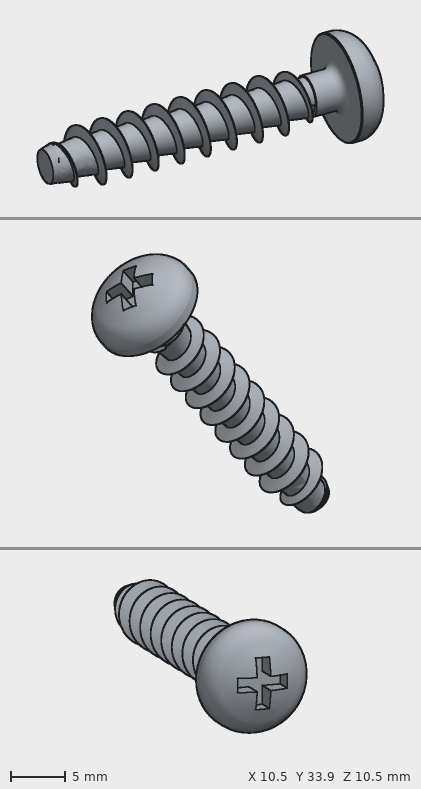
import cadquery as cq
import math


head_radius = 10.5 / 2
head_height = 3.96
rim_height = 1.1
rim_chamfer = 0.1
crown_radius = 3.85
crown_rise = 1.0
shoulder_bulge = 0.3

recess_span = 4.9
recess_arm_width = 1.35
recess_depth = 2.2

shank_length = 30.0
shank_radius = 2.0
plain_length = 3.0
neck_fillet = 0.75

pitch = 2.69
crest_radius = 3.0
crest_width = 0.06
flank_angle = 15.5
root_high_radius = 1.95
root_low_radius = 1.69
core_radius = 1.64
root_sunk_radius = 1.5
tooth_sunk_radius = 1.35
root_start = -1.0
root_gap = 0.2
first_crest = -3.75

run_in_start = -0.25
run_in_end = 0.75
run_out_start = 8.4
run_out_end = 9.6
run_in_radius = 2.35
run_out_radius = 1.7
sections_per_turn = 16

tip_radius = 1.64
tip_taper_length = 1.0


def make_head():
    """Pan head: chamfered rim, rounded shoulder and shallow crown, revolved about Y."""
    crown_base = head_height - crown_rise
    chord_x = head_radius - crown_radius
    chord_y = crown_base - rim_height
    chord = math.hypot(chord_x, chord_y)
    shoulder_mid = (
        (head_radius + crown_radius) / 2 + shoulder_bulge * chord_y / chord,
        (rim_height + crown_base) / 2 + shoulder_bulge * chord_x / chord,
    )
    sphere_radius = (crown_radius**2 + crown_rise**2) / (2 * crown_rise)
    mid_x = crown_radius / 2
    mid_y = head_height - sphere_radius + math.sqrt(sphere_radius**2 - mid_x**2)
    return (
        cq.Workplane("XY")
        .moveTo(0, 0)
        .lineTo(head_radius - rim_chamfer, 0)
        .lineTo(head_radius, rim_chamfer)
        .lineTo(head_radius, rim_height)
        .threePointArc(shoulder_mid, (crown_radius, crown_base))
        .threePointArc((mid_x, mid_y), (0, head_height))
        .close()
        .revolve(360, (0, 0, 0), (0, 1, 0))
    )


def make_recess():
    """Cross-shaped pocket with straight walls, open at the top of the head."""
    centre = (0, head_height - recess_depth / 2, 0)
    arm_x = cq.Workplane("XY").box(recess_span, recess_depth, recess_arm_width)
    arm_z = cq.Workplane("XY").box(recess_arm_width, recess_depth, recess_span)
    return arm_x.union(arm_z).translate(centre)


def make_shank():
    """Plain shank filleted into the head, and the slimmer core that carries the thread."""
    fillet_sagitta = neck_fillet * (1 - math.sqrt(0.5))
    return (
        cq.Workplane("XY")
        .moveTo(0, 0)
        .lineTo(shank_radius + neck_fillet, 0)
        .threePointArc(
            (shank_radius + fillet_sagitta, -fillet_sagitta),
            (shank_radius, -neck_fillet),
        )
        .lineTo(shank_radius, -plain_length)
        .lineTo(core_radius, -plain_length)
        .lineTo(core_radius, -shank_length)
        .lineTo(0, -shank_length)
        .close()
        .revolve(360, (0, 0, 0), (0, 1, 0))
    )


def half_width(radius, crest):
    """Half the axial width of the tooth at a radius, for a given crest radius."""
    return crest_width / 2 + (crest - radius) * math.tan(math.radians(flank_angle))


def tooth_outline(crest):
    """Corners of the tooth as (radius, axial offset), for a given crest radius."""
    base_half_width = half_width(tooth_sunk_radius, crest)
    return [
        (tooth_sunk_radius, base_half_width),
        (crest, crest_width / 2),
        (crest, -crest_width / 2),
        (tooth_sunk_radius, -base_half_width),
    ]


def tooth_section(turn, crest):
    """Outline of the tooth in the half-plane through the axis at a given turn."""
    angle = 2 * math.pi * turn
    centre = first_crest - turn * pitch
    points = [
        cq.Vector(radius * math.cos(angle), centre + offset, radius * math.sin(angle))
        for radius, offset in tooth_outline(crest)
    ]
    return cq.Wire.makePolygon(points, close=True)


def make_fading_tooth(start_turn, end_turn, start_crest, end_crest):
    """Stretch of tooth whose crest radius changes steadily between two turns."""
    steps = math.ceil((end_turn - start_turn) * sections_per_turn)
    sections = []
    for step in range(steps + 1):
        share = step / steps
        turn = start_turn + share * (end_turn - start_turn)
        sections.append(tooth_section(turn, start_crest + share * (end_crest - start_crest)))
    return cq.Workplane(obj=cq.Solid.makeLoft(sections))


def sweep_helix(outline, start_turn, end_turn):
    """Right-hand sweep of a (radius, axial offset) outline between two turns of the thread."""
    helix = cq.Workplane(obj=cq.Wire.makeHelix(pitch, (end_turn - start_turn) * pitch, crest_radius))
    swept = cq.Workplane("XZ").polyline(outline).close().sweep(helix, isFrenet=True)
    along_y = swept.rotate((0, 0, 0), (1, 0, 0), -90).translate((0, first_crest - end_turn * pitch, 0))
    return along_y.rotate((0, 0, 0), (0, 1, 0), -360 * end_turn)


def make_tooth_stretches():
    """Full-height tooth and the fading stretch at each of its ends, as separate bodies."""
    main = sweep_helix(tooth_outline(crest_radius), run_in_end, run_out_start)
    run_in = make_fading_tooth(run_in_start, run_in_end, run_in_radius, crest_radius)
    run_out = make_fading_tooth(run_out_start, run_out_end, crest_radius, run_out_radius)
    return [main, run_out, run_in]


def make_root():
    """Sloping root between the turns, widest just below each turn."""
    slope_top = -half_width(root_high_radius, crest_radius)
    slope_bottom = half_width(root_low_radius, crest_radius) - pitch
    slope = (root_high_radius - root_low_radius) / (slope_top - slope_bottom)
    top = -root_gap / 2
    bottom = top + root_gap - pitch
    outline = [
        (root_sunk_radius, top),
        (root_high_radius + slope * (top - slope_top), top),
        (root_low_radius - slope * (slope_bottom - bottom), bottom),
        (root_sunk_radius, bottom),
    ]
    turns_to_tip = math.ceil((shank_length + first_crest) / pitch)
    return sweep_helix(outline, root_start, turns_to_tip)


def make_root_envelope():
    """Body of revolution that trims the root at the plain shank and tapers it at the tip."""
    return (
        cq.Workplane("XY")
        .moveTo(0, -plain_length)
        .lineTo(crest_radius, -plain_length)
        .lineTo(crest_radius, tip_taper_length - shank_length)
        .lineTo(root_high_radius, tip_taper_length - shank_length)
        .lineTo(tip_radius, -shank_length)
        .lineTo(0, -shank_length)
        .close()
        .revolve(360, (0, 0, 0), (0, 1, 0))
    )


root = make_root().intersect(make_root_envelope())
body = make_head().cut(make_recess()).union(make_shank())
thread = [root.val()] + [stretch.val() for stretch in make_tooth_stretches()]
result = cq.Workplane(obj=body.val().fuse(*thread))